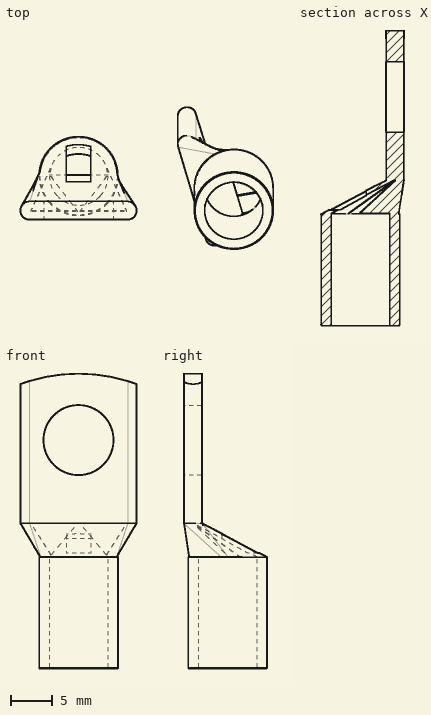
import cadquery as cq
import math


barrel_radius = 4.75
barrel_wall = 1.25
bore_radius = barrel_radius - barrel_wall
barrel_height = 13.5
bottom_edge_chamfer = 0.1
shoulder_chamfer = 0.1

overall_height = 35.5
overall_depth = 10.0
palm_width = 14.0
palm_thickness = 2.2
palm_bottom = 17.5
palm_top_radius = 20.0
palm_center_y = barrel_radius - overall_depth + palm_thickness / 2
bolt_hole_diameter = 8.4
bolt_hole_height = 27.5

neck_height = palm_bottom - barrel_height
cavity_front_y = 0.14
slit_thickness = 0.1
slit_width = palm_width - 2 * barrel_wall

window_width = 2.9
window_sill = 13.95
window_front_y = -0.7


def make_barrel():
    """Round barrel with a broken bottom edge and a small shoulder at the neck."""
    barrel = cq.Workplane("XY").circle(barrel_radius).extrude(barrel_height)
    barrel = barrel.faces("<Z").chamfer(bottom_edge_chamfer)
    return barrel.faces(">Z").chamfer(shoulder_chamfer)


def make_neck():
    """Ruled transition from the round barrel to the flat palm section."""
    return (
        cq.Workplane("XY", origin=(0, 0, barrel_height))
        .circle(barrel_radius - shoulder_chamfer)
        .workplane(offset=neck_height)
        .center(0, palm_center_y)
        .slot2D(palm_width, palm_thickness)
        .loft(ruled=True)
    )


def make_palm():
    """Flat palm with full-round sides, an arched top and the bolt hole."""
    palm = (
        cq.Workplane("XY", origin=(0, palm_center_y, palm_bottom))
        .slot2D(palm_width, palm_thickness)
        .extrude(overall_height - palm_bottom)
    )
    arch = (
        cq.Workplane("XZ", origin=(0, palm_center_y, overall_height - palm_top_radius))
        .circle(palm_top_radius)
        .extrude(palm_thickness, both=True)
    )
    bolt_hole = (
        cq.Workplane("XZ", origin=(0, palm_center_y, bolt_hole_height))
        .circle(bolt_hole_diameter / 2)
        .extrude(palm_thickness, both=True)
    )
    return palm.intersect(arch).cut(bolt_hole)


def make_neck_cavity():
    """Back segment of the bore tapering up and forward to the slit."""
    segment_half_width = math.sqrt(bore_radius**2 - cavity_front_y**2)
    return (
        cq.Workplane("XY", origin=(0, 0, barrel_height))
        .moveTo(-segment_half_width, cavity_front_y)
        .lineTo(segment_half_width, cavity_front_y)
        .threePointArc((0, bore_radius), (-segment_half_width, cavity_front_y))
        .close()
        .workplane(offset=neck_height)
        .center(0, palm_center_y)
        .rect(slit_width, slit_thickness)
        .loft(ruled=True)
    )


def make_window():
    """Upright notch, open to the back, with a flat sill and the cavity's slope in front."""
    slit_front_y = palm_center_y - slit_thickness / 2
    cavity_slope = neck_height / (cavity_front_y - slit_front_y)
    sill_front_y = cavity_front_y - (window_sill - barrel_height) / cavity_slope
    slope_top = barrel_height + cavity_slope * (cavity_front_y - window_front_y)
    return (
        cq.Workplane("YZ")
        .moveTo(window_front_y, slope_top)
        .lineTo(sill_front_y, window_sill)
        .lineTo(barrel_radius, window_sill)
        .lineTo(barrel_radius, palm_bottom)
        .lineTo(window_front_y, palm_bottom)
        .close()
        .extrude(window_width / 2, both=True)
    )


bore = cq.Workplane("XY").circle(bore_radius).extrude(barrel_height)

result = make_barrel().union(make_neck()).union(make_palm())
result = result.cut(bore).cut(make_neck_cavity()).cut(make_window())